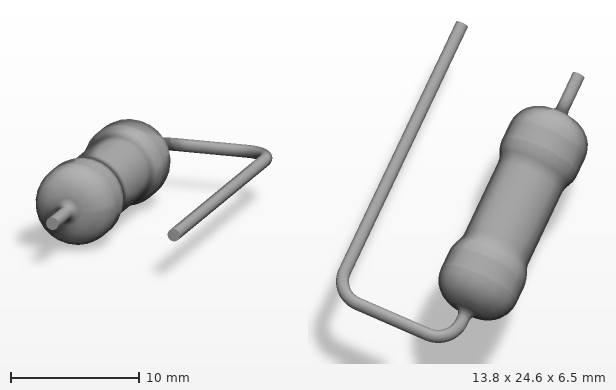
import cadquery as cq
import math

length = 24.6
width = 13.75
wire_radius = 1.0 / 2
bend_radius = 2.0

body_middle = 12.35
cap_radius = 6.5 / 2
lead_spacing = width - cap_radius - wire_radius
waist_radius = 5.54 / 2
waist_half_length = 3.1
shoulder_length = 1.87
cap_band_length = 1.5
dome_radius = 2.26
collar_radius = 0.66

shoulder_end = waist_half_length + shoulder_length
shoulder_middle = waist_half_length + shoulder_length / 2
dome_start = shoulder_end + cap_band_length
middle_radius = (cap_radius + waist_radius) / 2

dome_center_radius = cap_radius - dome_radius
collar_center_radius = wire_radius + collar_radius
center_offset = collar_center_radius - dome_center_radius
tangent_angle = math.asin(center_offset / (dome_radius + collar_radius))
collar_end = dome_start + (dome_radius + collar_radius) * math.cos(tangent_angle)


def point_on_dome(angle):
    """Profile point on the dome, with the angle measured from the axial direction."""
    return (
        dome_center_radius + dome_radius * math.sin(angle),
        dome_start + dome_radius * math.cos(angle),
    )


def point_on_collar(angle):
    """Profile point on the collar, with the angle measured toward the dome center."""
    return (
        collar_center_radius - collar_radius * math.sin(angle),
        collar_end - collar_radius * math.cos(angle),
    )


def make_half_body():
    """Half of the body of revolution, from its middle to the end of the collar."""
    arc_mid_angle = (tangent_angle + math.pi / 2) / 2
    return (
        cq.Workplane("XY")
        .lineTo(waist_radius, 0)
        .lineTo(waist_radius, waist_half_length)
        .tangentArcPoint((middle_radius, shoulder_middle), relative=False)
        .tangentArcPoint((cap_radius, shoulder_end), relative=False)
        .lineTo(cap_radius, dome_start)
        .threePointArc(point_on_dome(arc_mid_angle), point_on_dome(tangent_angle))
        .threePointArc(point_on_collar(arc_mid_angle), (wire_radius, collar_end))
        .lineTo(0, collar_end)
        .close()
        .revolve(360, (0, 0), (0, 1))
    )


def make_wire():
    """Lead through the body axis, bent over at the far end and brought back parallel."""
    top = length - wire_radius
    bend_start = top - bend_radius
    bend_mid = bend_radius * (1 - math.sqrt(0.5))
    path = (
        cq.Workplane("XY")
        .lineTo(0, bend_start)
        .threePointArc((bend_mid, top - bend_mid), (bend_radius, top))
        .lineTo(lead_spacing - bend_radius, top)
        .threePointArc((lead_spacing - bend_mid, top - bend_mid), (lead_spacing, bend_start))
        .lineTo(lead_spacing, 0)
    )
    return cq.Workplane("XZ").circle(wire_radius).sweep(path)


half_body = make_half_body()
body = half_body.union(half_body.mirror("XZ")).clean().translate((0, body_middle, 0))
result = body.union(make_wire())